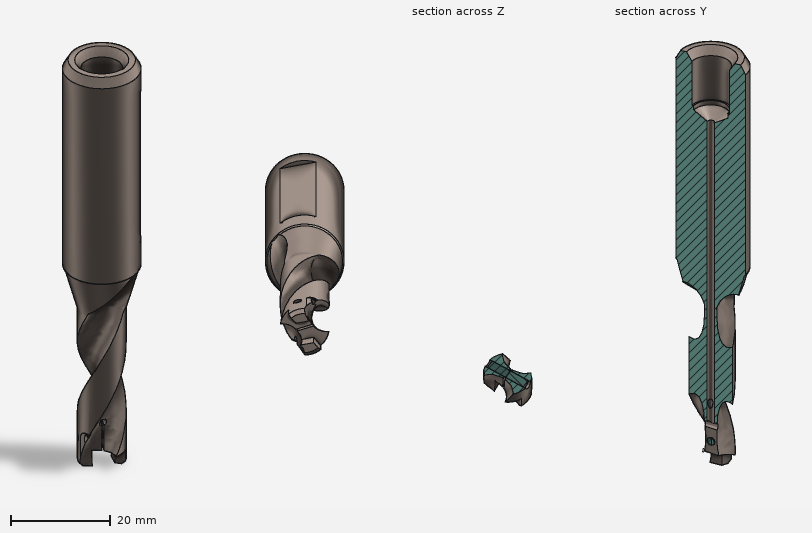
import cadquery as cq
import math


total_length = 94.69
shank_radius = 15.88 / 2
shank_start_z = 46.6
shank_chamfer_height = 2.0
shank_chamfer_radial = shank_chamfer_height * math.tan(math.radians(30))
clamp_flat_depth = 0.9
clamp_flat_bottom_z = 52.5
clamp_flat_top_z = 88.0

neck_chamfer = 0.3
neck_end_z = 36.5
nose_radius = 4.95
nose_overcut = 4 * nose_radius
nose_tip_chamfer = 0.8

countersink_radius = 5.45
bore_radius = 4.2
countersink_depth = 1.9
bore_depth = 12.0
bore_step_radius = 3.8
bore_step_depth = 1.0
bore_point_half_angle = math.radians(59)
coolant_radius = 0.75

flute_lead = 58.0
core_radius = 1.4
flute_radius = 3.8
flute_offset = core_radius + flute_radius
helix_slope = 2 * math.pi * flute_offset / flute_lead
flute_half_width = flute_radius * math.hypot(1, helix_slope)
flute_exit_z = 37.2
flute_turn = 180.0
flute_entry_z = flute_exit_z - flute_lead * flute_turn / 360
flute_entry_lift = 0.07
flute_exit_slope = 1.0
flute_exit_lift = 0.2

seat_width = 4.7
seat_height = 3.5
leg_side_angle = 30.0
slit_width = 0.4
clamp_angle = -6.5
relief_hole_z = 10.0
relief_hole_radius = 0.75

outlet_start_angle = 15.0
outlet_face_angle = 33.0
outlet_face_distance = nose_radius * math.cos(math.radians(outlet_face_angle - outlet_start_angle))
outlet_half_width = nose_radius * math.sin(math.radians(outlet_face_angle - outlet_start_angle))
outlet_top_z = 8.7
outlet_hole_radius = 0.5
outlet_hole_z = outlet_top_z - outlet_half_width
outlet_source_z = 16.0
outlet_hole_overshoot = 1.1

pin_radius = 0.85
pin_z = 6.3
pin_recess = 0.6
pin_length = nose_radius - pin_recess


def half_turn(shape, index):
    """Copy number 0 stays in place, copy number 1 is turned to the opposite side."""
    return shape.rotate((0, 0, 0), (0, 0, 1), 180 * index)


def make_nose():
    neck_top_radius = shank_radius - neck_chamfer
    profile = [
        (0, 0),
        (nose_radius - nose_tip_chamfer, 0),
        (nose_radius, nose_tip_chamfer),
        (nose_radius, neck_end_z),
        (neck_top_radius, shank_start_z - neck_chamfer),
        (shank_radius, shank_start_z),
        (0, shank_start_z),
    ]
    return cq.Workplane("XZ").polyline(profile).close().revolve(360, (0, 0), (0, 1))


def make_shank():
    shank = (
        cq.Workplane("XY", origin=(0, 0, shank_start_z))
        .circle(shank_radius)
        .extrude(total_length - shank_start_z)
        .faces(">Z")
        .chamfer(shank_chamfer_height, shank_chamfer_radial)
    )
    clamp_flat = cq.Workplane("XY").box(
        2 * shank_radius,
        2 * clamp_flat_depth,
        clamp_flat_top_z - clamp_flat_bottom_z,
    )
    clamp_flat_mid_z = (clamp_flat_top_z + clamp_flat_bottom_z) / 2
    return shank.cut(clamp_flat.translate((0, shank_radius, clamp_flat_mid_z)))


def flute_section(z):
    """Level slice through a groove that is round when seen along the helix."""
    return (
        cq.Workplane("XY", origin=(0, 0, z))
        .moveTo(flute_offset, 0)
        .ellipse(flute_radius, flute_half_width)
    )


def make_flute_runout(start_z, rise, flute_angle, slope, lift):
    """Straight groove; slope and lift are its sideways and outward drift per unit of rise."""
    section = flute_section(start_z).wires().val()
    path = cq.Vector(lift * rise, slope * rise, rise)
    runout = cq.Workplane(cq.Solid.extrudeLinear(section, [], path))
    return runout.rotate((0, 0, 0), (0, 0, 1), flute_angle)


def make_flute_cutters():
    """Half a turn of helical groove, with a straight run at each end of it."""
    helix = flute_section(flute_entry_z).twistExtrude(flute_exit_z - flute_entry_z, flute_turn)
    entry = make_flute_runout(flute_entry_z, -flute_entry_z, 0, helix_slope, flute_entry_lift)
    exit_rise = shank_start_z - flute_exit_z
    exit_run = make_flute_runout(flute_exit_z, exit_rise, flute_turn, flute_exit_slope, flute_exit_lift)
    return helix, entry, exit_run


def make_rear_bore():
    """Countersunk bore with a drill-point bottom, continued by the axial coolant line."""
    bore_end_z = total_length - bore_depth
    step_z = bore_end_z - bore_step_depth
    point_z = step_z - (bore_step_radius - coolant_radius) / math.tan(bore_point_half_angle)
    profile = [
        (0, total_length),
        (countersink_radius, total_length),
        (bore_radius, total_length - countersink_depth),
        (bore_radius, bore_end_z),
        (bore_step_radius, bore_end_z),
        (bore_step_radius, step_z),
        (coolant_radius, point_z),
        (coolant_radius, relief_hole_z),
        (0, relief_hole_z),
    ]
    return cq.Workplane("XZ").polyline(profile).close().revolve(360, (0, 0), (0, 1))


def make_tip_seat():
    """Slot between the legs, reaching through the whole nose along X."""
    return cq.Workplane("XY").box(
        nose_overcut, seat_width, seat_height, centered=(True, True, False)
    )


def make_leg_side_cutter():
    """Wedge that leaves a flat radial face on the trailing side of the -Y leg."""
    reach = 2 * nose_radius
    outline = [
        (0, 0),
        (-reach * math.tan(math.radians(leg_side_angle)), -reach),
        (-reach, -reach),
        (-reach, 0),
    ]
    return cq.Workplane("XY").polyline(outline).close().extrude(seat_height)


def make_slit():
    slit = cq.Workplane("XY").box(
        nose_overcut, slit_width, relief_hole_z, centered=(True, True, False)
    )
    relief_hole = (
        cq.Workplane("YZ", origin=(-nose_overcut / 2, 0, relief_hole_z))
        .circle(relief_hole_radius)
        .extrude(nose_overcut)
    )
    return slit.union(relief_hole).rotate((0, 0, 0), (0, 0, 1), clamp_angle)


def make_outlet_cutter():
    """Round-topped flat on the leading side of the -Y land, fed by a slanted coolant hole."""
    flat = (
        cq.Workplane("XZ", origin=(0, -outlet_face_distance, 0))
        .moveTo(-outlet_half_width, 0)
        .lineTo(-outlet_half_width, outlet_hole_z)
        .threePointArc((0, outlet_top_z), (outlet_half_width, outlet_hole_z))
        .lineTo(outlet_half_width, 0)
        .close()
        .extrude(nose_radius)
    )
    source = cq.Vector(0, 0, outlet_source_z)
    mouth = cq.Vector(0, -outlet_face_distance, outlet_hole_z)
    run = mouth - source
    hole = cq.Solid.makeCylinder(outlet_hole_radius, outlet_hole_overshoot * run.Length, source, run)
    return flat.union(cq.Workplane(hole)).rotate((0, 0, 0), (0, 0, 1), outlet_face_angle)


def pin_cylinder(length):
    """Cylinder square to the slit, running outwards from its mid-plane on the -Y side."""
    cylinder = cq.Workplane("XZ", origin=(0, 0, pin_z)).circle(pin_radius).extrude(length)
    return cylinder.rotate((0, 0, 0), (0, 0, 1), clamp_angle)


def make_holder():
    nose = make_nose()
    for index in range(2):
        for cutter in (*make_flute_cutters(), make_leg_side_cutter(), make_outlet_cutter()):
            nose = nose.cut(half_turn(cutter, index))
    nose = nose.cut(make_tip_seat()).cut(make_slit())
    holder = nose.union(make_shank()).cut(make_rear_bore())
    for index in range(2):
        holder = holder.cut(half_turn(pin_cylinder(2 * nose_radius), index))
    return holder


def make_pin(index):
    return half_turn(pin_cylinder(pin_length), index)


holder = make_holder()
pins = [make_pin(index) for index in range(2)]

result = cq.Compound.makeCompound([holder.val(), *[pin.val() for pin in pins]])